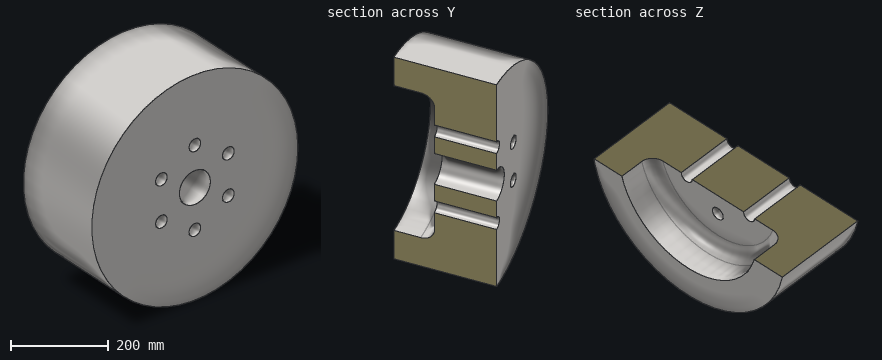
import cadquery as cq

wheel_diameter = 533.5
wheel_width = 229.0

recess_diameter = 381.0
recess_depth = 90.0
recess_fillet = 30.0

bore_diameter = 80.0
bolt_hole_diameter = 30.0
bolt_circle_diameter = 200.0
bolt_count = 6
first_bolt_angle = 90.0


def make_recess():
    """Round pocket cutter with a filleted floor, reaching recess_depth inward from the -X face."""
    return (
        cq.Workplane("YZ")
        .circle(recess_diameter / 2)
        .extrude(recess_depth)
        .faces(">X")
        .edges()
        .fillet(recess_fillet)
    )


def make_holes():
    """Central bore and bolt holes, long enough to pass through the whole width."""
    bore = cq.Workplane("YZ").circle(bore_diameter / 2).extrude(wheel_width)
    bolt_holes = (
        cq.Workplane("YZ")
        .polarArray(bolt_circle_diameter / 2, first_bolt_angle, 360, bolt_count)
        .circle(bolt_hole_diameter / 2)
        .extrude(wheel_width)
    )
    return bore.union(bolt_holes)


wheel = cq.Workplane("YZ").circle(wheel_diameter / 2).extrude(wheel_width)

result = wheel.cut(make_recess()).cut(make_holes())